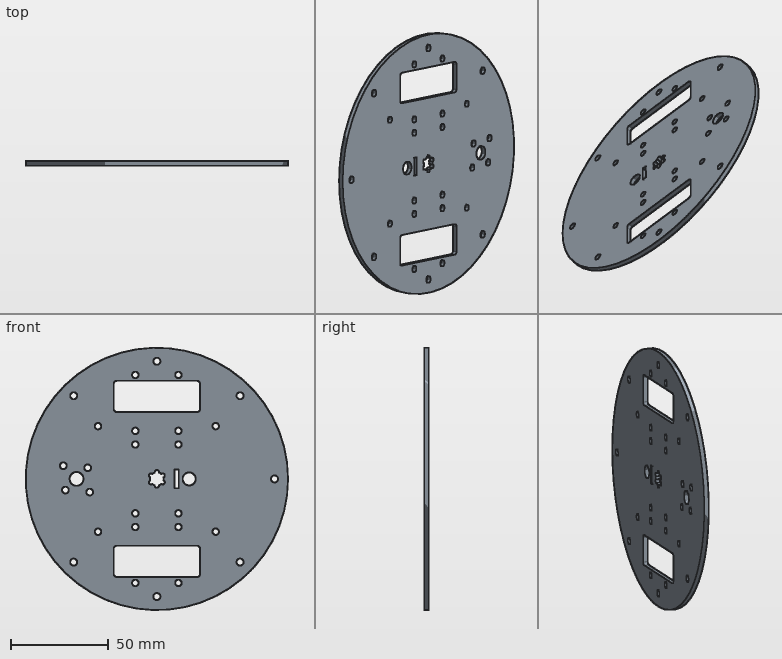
import cadquery as cq
import math

plate_diameter = 134.0
plate_thickness = 2.5

rim_hole_diameter = 3.5
rim_circle_radius = 60.0
rim_hole_spacing = 45
rim_gap_angle = 180
rim_hole_angles = [angle for angle in range(0, 360, rim_hole_spacing) if angle != rim_gap_angle]

window_length = 44.0
window_height = 15.8
window_corner_radius = 1.5
window_offset = 42.1

screw_diameter = 3.2
motor_screw_x = 11.0
motor_screw_rows = [17.5, 24.5, 53.0]
standoff_x = 30.0
standoff_z = 27.0

caster_x = -41.0
caster_hole_diameter = 7.0
caster_screw_diameter = 3.4
caster_long_radius = 9.5
caster_short_radius = 8.0
caster_short_angles = [45, 225]

star_body_diameter = 6.8
star_lobe_count = 6
star_lobe_diameter = 2.0
star_lobe_circle_radius = 3.5

slot_x = 10.0
slot_width = 2.0
slot_height = 9.4
cable_hole_x = 16.5
cable_hole_diameter = 6.5


def polar(radius, angle, center_x=0.0):
    """Point at an angle in degrees on a circle centred on the X axis."""
    radians = math.radians(angle)
    return (center_x + radius * math.cos(radians), radius * math.sin(radians))


def mirrored(x, z):
    """The four points mirrored about both axes."""
    return [(x, z), (-x, z), (x, -z), (-x, -z)]


def sketch_plane():
    """Front plane: local x is X, local y is Z, extrusion runs along -Y."""
    return cq.Workplane("XZ", origin=(0, plate_thickness / 2, 0))


def round_cutter(diameter, points):
    return sketch_plane().pushPoints(points).circle(diameter / 2).extrude(plate_thickness)


def rectangular_cutter(length, height, points):
    return sketch_plane().pushPoints(points).rect(length, height).extrude(plate_thickness)


def window_cutter():
    centers = [(0, window_offset), (0, -window_offset)]
    windows = rectangular_cutter(window_length, window_height, centers)
    return windows.edges("|Y").fillet(window_corner_radius)


def screw_cutter():
    points = mirrored(standoff_x, standoff_z)
    for row_z in motor_screw_rows:
        points += mirrored(motor_screw_x, row_z)
    return round_cutter(screw_diameter, points)


def caster_screw_cutter():
    points = []
    for angle in caster_short_angles:
        points.append(polar(caster_short_radius, angle, caster_x))
        points.append(polar(caster_long_radius, angle + 90, caster_x))
    return round_cutter(caster_screw_diameter, points)


def star_cutter():
    lobe_step = 360 / star_lobe_count
    lobes = [polar(star_lobe_circle_radius, 90 + i * lobe_step) for i in range(star_lobe_count)]
    body = round_cutter(star_body_diameter, [(0, 0)])
    return body.union(round_cutter(star_lobe_diameter, lobes))


plate = sketch_plane().circle(plate_diameter / 2).extrude(plate_thickness)
rim_points = [polar(rim_circle_radius, angle) for angle in rim_hole_angles]

result = (
    plate
    .cut(round_cutter(rim_hole_diameter, rim_points))
    .cut(window_cutter())
    .cut(screw_cutter())
    .cut(round_cutter(caster_hole_diameter, [(caster_x, 0)]))
    .cut(caster_screw_cutter())
    .cut(star_cutter())
    .cut(rectangular_cutter(slot_width, slot_height, [(slot_x, 0)]))
    .cut(round_cutter(cable_hole_diameter, [(cable_hole_x, 0)]))
)